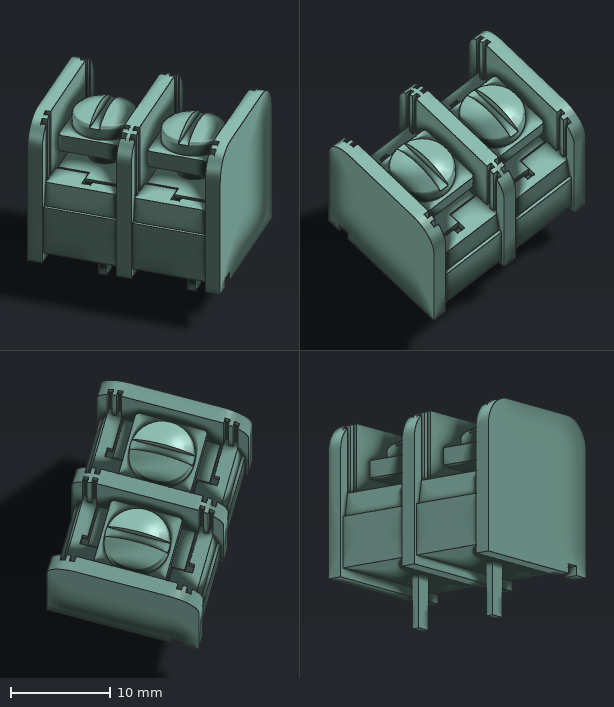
import cadquery as cq


total_length = 20.6
total_height = 20.95
pole_count = 2

barrier_thickness = 1.6
barrier_depth = 15.88
barrier_corner_radius = 3.15
barrier_bottom = 4.6

pole_pitch = (total_length - barrier_thickness) / pole_count
bay_width = pole_pitch - barrier_thickness
barrier_centers = [(i - pole_count / 2) * pole_pitch for i in range(pole_count + 1)]
bay_centers = [(i - (pole_count - 1) / 2) * pole_pitch for i in range(pole_count)]

body_bottom = 5.6
body_ledge_height = 10.91
body_top = 13.45
body_half_depth = 7.58
ledge_width = 0.34
slope_inset = 0.42
body_top_half_depth = body_half_depth - ledge_width - slope_inset

foot_slot_width = 1.32
foot_slot_offset = 1.57

grooves_per_corner = 2
groove_depth = 0.57
groove_width = 0.5
groove_pitch = 0.98

clamp_size = 7.5
clamp_corner_radius = 0.42
clamp_bottom = 15.5
clamp_top = 17.3
shank_diameter = 3.41
head_diameter = 6.7
head_edge_height = 18.67
head_top = 19.73
head_edge_radius = 0.45
driver_slot_width = 1.07
driver_slot_floor = 18.5

plate_top = 13.55
plate_stem_length = 3.35
plate_half_depth = 5.05
pocket_depth = 1.0
pocket_stem_length = 3.5
pocket_stem_half_depth = 3.81
pocket_half_depth = 5.3
relief_width = 0.92
relief_half_depth = 5.87
pocket_floor = body_top - pocket_depth

pin_thickness = 0.84
pin_width = 1.6


def block(x_min, x_max, y_min, y_max, z_min, z_max):
    """Axis-aligned box given by its limits."""
    size = (x_max - x_min, y_max - y_min, z_max - z_min)
    return cq.Workplane("XY").box(*size, centered=False).translate((x_min, y_min, z_min))


def centered_block(x_min, x_max, half_depth, z_min, z_max):
    """Box symmetric about the XZ plane."""
    return block(x_min, x_max, -half_depth, half_depth, z_min, z_max)


def barrier(x_center):
    half_thickness = barrier_thickness / 2
    wall = centered_block(
        x_center - half_thickness, x_center + half_thickness, barrier_depth / 2, barrier_bottom, total_height
    )
    return wall.edges("|X and >Z").fillet(barrier_corner_radius)


def bay_body(x_center):
    """Body of one pole: straight lower part, narrow ledge and sloping upper part."""
    ledge_half_depth = body_half_depth - ledge_width
    rear_half = [
        (body_half_depth, body_bottom),
        (body_half_depth, body_ledge_height),
        (ledge_half_depth, body_ledge_height),
        (body_top_half_depth, body_top),
    ]
    front_half = [(-y, z) for y, z in reversed(rear_half)]
    profile = cq.Workplane("YZ").polyline(rear_half + front_half).close()
    return profile.extrude(bay_width).translate((x_center - bay_width / 2, 0, 0))


def plate_pocket(x_center):
    """T-shaped recess with a small relief at each inner corner."""
    bay_start = x_center - bay_width / 2
    bay_end = x_center + bay_width / 2
    stem_end = bay_start + pocket_stem_length
    stem = centered_block(bay_start, stem_end, pocket_stem_half_depth, pocket_floor, body_top)
    wide = centered_block(stem_end, bay_end, pocket_half_depth, pocket_floor, body_top)
    relief = centered_block(stem_end, stem_end + relief_width, relief_half_depth, pocket_floor, body_top)
    return stem.union(wide).union(relief)


def terminal_plate(x_center):
    plate_start = x_center - clamp_size / 2
    plate_end = x_center + clamp_size / 2
    stem_end = plate_start + plate_stem_length
    stem = centered_block(plate_start, stem_end, clamp_size / 2, pocket_floor, plate_top)
    wide = centered_block(stem_end, plate_end, plate_half_depth, pocket_floor, plate_top)
    return stem.union(wide)


def marker_grooves(x_center):
    """Grooves near each end of both barrier faces of a bay, open at the top."""
    reach = bay_width / 2 + groove_depth
    grooves = cq.Workplane("XY")
    for index in range(grooves_per_corner):
        y_max = body_top_half_depth - index * groove_pitch
        y_min = y_max - groove_width
        for low, high in ((y_min, y_max), (-y_max, -y_min)):
            grooves = grooves.add(block(x_center - reach, x_center + reach, low, high, body_top, total_height))
    return grooves.combine()


def clamp(x_center):
    half = clamp_size / 2
    plate = centered_block(x_center - half, x_center + half, half, clamp_bottom, clamp_top)
    return plate.edges("|Z").fillet(clamp_corner_radius)


def screw(x_center):
    """Shank and domed head with a rounded rim and a driver slot along Y."""
    head_radius = head_diameter / 2
    dome_rise = head_top - head_edge_height
    dome_radius = (head_radius**2 + dome_rise**2) / (2 * dome_rise)
    mid_radius = head_radius / 2
    mid_height = head_top - dome_radius + (dome_radius**2 - mid_radius**2) ** 0.5
    head = (
        cq.Workplane("XZ")
        .moveTo(0, clamp_top)
        .lineTo(head_radius, clamp_top)
        .lineTo(head_radius, head_edge_height)
        .threePointArc((mid_radius, mid_height), (0, head_top))
        .close()
        .revolve(360, (0, 0), (0, 1))
    )
    head = head.faces("%CYLINDER").edges(">Z").fillet(head_edge_radius)
    half_slot = driver_slot_width / 2
    head = head.cut(centered_block(-half_slot, half_slot, head_diameter, driver_slot_floor, total_height))
    shank = cq.Workplane("XY").workplane(offset=pocket_floor).circle(shank_diameter / 2)
    shank = shank.extrude(clamp_top - pocket_floor)
    return head.union(shank).translate((x_center, 0, 0))


def pin(x_center):
    half_thickness = pin_thickness / 2
    return centered_block(x_center - half_thickness, x_center + half_thickness, pin_width / 2, 0, pocket_floor)


housing = barrier(barrier_centers[0])
for x in barrier_centers[1:]:
    housing = housing.union(barrier(x))
for x in bay_centers:
    housing = housing.union(bay_body(x))

foot_slot_start = foot_slot_offset - barrier_depth / 2
foot_slot = block(
    -total_length / 2,
    total_length / 2,
    foot_slot_start,
    foot_slot_start + foot_slot_width,
    barrier_bottom,
    body_bottom,
)
housing = housing.cut(foot_slot)
for x in bay_centers:
    housing = housing.cut(plate_pocket(x)).cut(marker_grooves(x))

result = housing
for x in bay_centers:
    for metal_part in (terminal_plate(x), screw(x), clamp(x), pin(x)):
        result = result.union(metal_part)